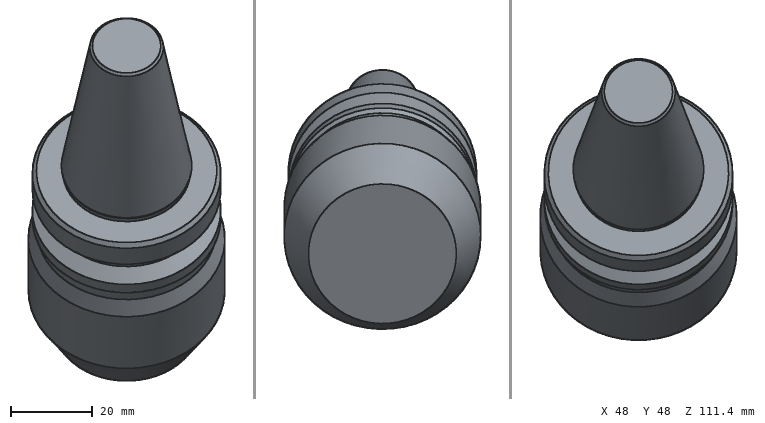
import cadquery as cq

total_height = 111.4
nose_cone_height = 12.9
body_top = 33.8
shoulder_top = 38.1
collar_bottom = 42.1
collar_top = 45.5
groove_bottom = 47.5
groove_top = 51.5
flange_bottom = 53.6
flange_top = 61.0
neck_top = 62.3
taper_bottom = 63.0

nose_radius = 18.0
body_radius = 24.01
waist_radius = 22.1
flange_radius = 23.0
groove_radius = 19.0
neck_radius = 15.6
taper_radius = 15.9

taper_ratio = 7 / 24
flange_chamfer = 1.0
tip_chamfer = 0.6

taper_tip_radius = taper_radius - (total_height - taper_bottom) * taper_ratio / 2
taper_edge_radius = taper_tip_radius + tip_chamfer * taper_ratio / 2

nose_and_body = [
    (0, 0),
    (nose_radius, 0),
    (body_radius, nose_cone_height),
    (body_radius, body_top),
    (waist_radius, shoulder_top),
]

collar_and_flange = [
    (waist_radius, collar_bottom - (flange_radius - waist_radius)),
    (flange_radius, collar_bottom),
    (flange_radius, collar_top),
    (groove_radius, groove_bottom),
    (groove_radius, groove_top),
    (flange_radius, flange_bottom),
    (flange_radius, flange_top - flange_chamfer),
    (flange_radius - flange_chamfer, flange_top),
]

neck_and_taper = [
    (neck_radius, flange_top),
    (neck_radius, neck_top),
    (taper_radius, taper_bottom),
    (taper_edge_radius, total_height - tip_chamfer),
    (taper_tip_radius - tip_chamfer, total_height),
    (0, total_height),
]

result = (
    cq.Workplane("XZ")
    .polyline(nose_and_body + collar_and_flange + neck_and_taper)
    .close()
    .revolve(360, (0, 0, 0), (0, 1, 0))
)